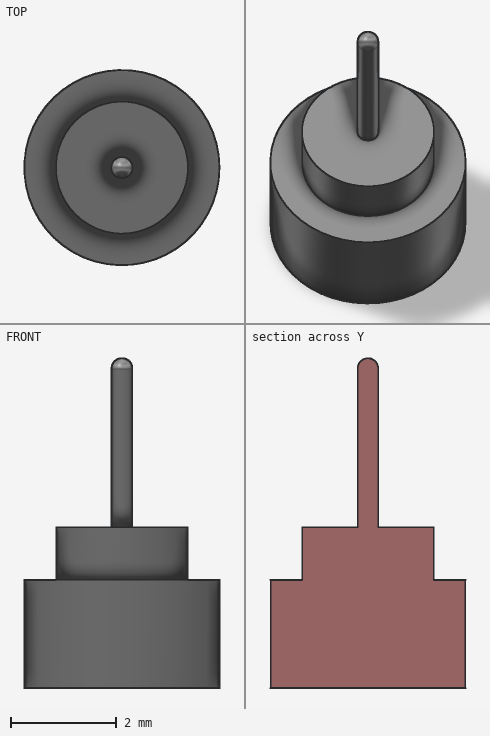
import cadquery as cq

total_height = 6.25
base_diameter = 3.7
base_height = 2.05
collar_diameter = 2.5
collar_height = 1.0
pin_diameter = 0.4

collar_top = base_height + collar_height
pin_height = total_height - collar_top


def cylinder(diameter, height, bottom):
    """Upright cylinder centred on the Z axis."""
    return cq.Workplane("XY").workplane(offset=bottom).circle(diameter / 2).extrude(height)


base = cylinder(base_diameter, base_height, 0)

collar = cylinder(collar_diameter, collar_height, base_height)

pin_shaft = cylinder(pin_diameter, pin_height - pin_diameter / 2, collar_top)
pin_tip = cq.Workplane("XY").sphere(pin_diameter / 2).translate((0, 0, total_height - pin_diameter / 2))

result = base.union(collar).union(pin_shaft).union(pin_tip)